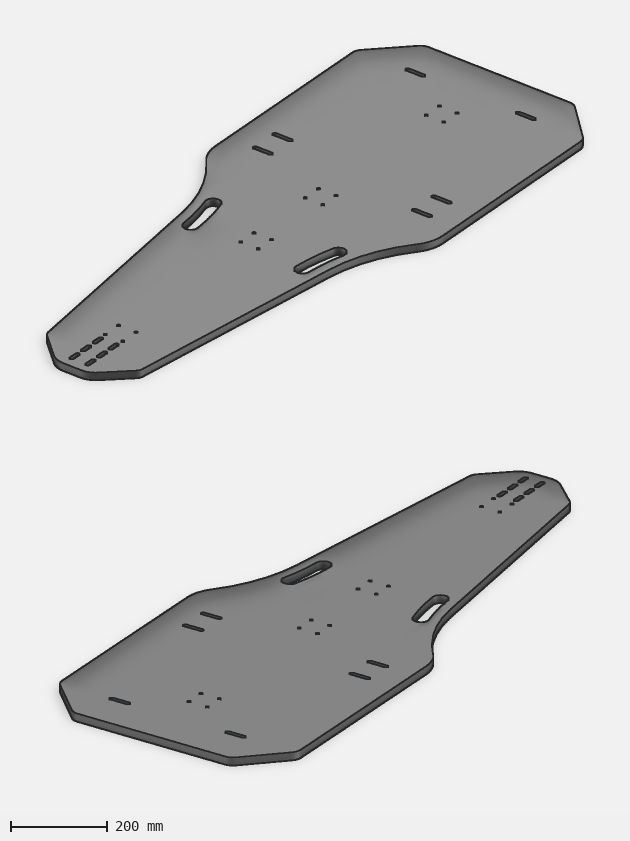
import cadquery as cq
import math

length = 1462.0
width = 590.0
thickness = 19.0
half_length = length / 2
half_width = width / 2

head_chamfer = 101.0
shoulder_y = 115.0
waist_x, waist_y = 203.0, 5.0
tail_x, tail_y = 121.0, -658.0
tip_x = 42.0

head_radius = 29.0
shoulder_radius = 92.0
waist_radius = 370.0
tail_radius = 22.0
tip_radius = 51.0

hole_diameter = 6.7
hole_spacing = 45.0
hole_group_centres_y = [533.0, 120.0, -101.0, -564.0]

strap_slot_length = 50.0
strap_slot_width = 10.0
strap_slot_places = [(143.0, 633.0), (206.0, 262.0), (206.0, 195.0)]

tail_slot_length = 29.0
tail_slot_width = 10.0
tail_slot_x = 20.0
tail_slot_pitch = 40.0
tail_slot_count = 3
first_tail_slot_y = -615.0

handle_upper = (162.0, -34.0)
handle_lower = (145.0, -133.0)
handle_half_width = 18.0
handle_bend_radius = 512.0

SIDES = (-1, 1)


def make_plate():
    right_corners = [
        (half_width - head_chamfer, half_length, head_radius),
        (half_width, half_length - head_chamfer, head_radius),
        (half_width, shoulder_y, shoulder_radius),
        (waist_x, waist_y, waist_radius),
        (tail_x, tail_y, tail_radius),
        (tip_x, -half_length, tip_radius),
    ]
    right = [(x, y) for x, y, _ in right_corners]
    left = [(-x, y) for x, y in reversed(right)]
    plate = cq.Workplane("XY").polyline(right + left).close().extrude(thickness)
    for x, y, radius in right_corners:
        for side in SIDES:
            corner = cq.selectors.NearestToPointSelector((side * x, y, thickness / 2))
            plate = plate.edges("|Z").edges(corner).fillet(radius)
    return plate


def hole_cutter():
    offset = hole_spacing / 2
    points = [
        (side * offset, centre_y + end * offset)
        for centre_y in hole_group_centres_y
        for side in SIDES
        for end in SIDES
    ]
    return cq.Workplane("XY").pushPoints(points).circle(hole_diameter / 2).extrude(thickness)


def slot_cutter(points, slot_length, slot_width, angle):
    return cq.Workplane("XY").pushPoints(points).slot2D(slot_length, slot_width, angle).extrude(thickness)


def handle_cutter():
    """Right-hand curved slot, bent about a centre outside the plate."""
    upper_x, upper_y = handle_upper
    lower_x, lower_y = handle_lower
    chord = math.dist(handle_upper, handle_lower)
    centre_distance = math.sqrt(handle_bend_radius**2 - (chord / 2) ** 2)
    centre_x = (upper_x + lower_x) / 2 + centre_distance * (upper_y - lower_y) / chord
    centre_y = (upper_y + lower_y) / 2 - centre_distance * (upper_x - lower_x) / chord
    upper_angle = math.atan2(upper_y - centre_y, upper_x - centre_x) % math.tau
    lower_angle = math.atan2(lower_y - centre_y, lower_x - centre_x) % math.tau
    middle_angle = (upper_angle + lower_angle) / 2
    outer_radius = handle_bend_radius - handle_half_width
    inner_radius = handle_bend_radius + handle_half_width

    def bend_point(radius, angle):
        return (centre_x + radius * math.cos(angle), centre_y + radius * math.sin(angle))

    def end_cap(centre, angle, direction):
        """Farthest point of a round end, measured along the slot."""
        x, y = centre
        return (
            x - direction * handle_half_width * math.sin(angle),
            y + direction * handle_half_width * math.cos(angle),
        )

    upper_cap = end_cap(handle_upper, upper_angle, -1)
    lower_cap = end_cap(handle_lower, lower_angle, 1)
    return (
        cq.Workplane("XY")
        .moveTo(*bend_point(outer_radius, upper_angle))
        .threePointArc(bend_point(outer_radius, middle_angle), bend_point(outer_radius, lower_angle))
        .threePointArc(lower_cap, bend_point(inner_radius, lower_angle))
        .threePointArc(bend_point(inner_radius, middle_angle), bend_point(inner_radius, upper_angle))
        .threePointArc(upper_cap, bend_point(outer_radius, upper_angle))
        .close()
        .extrude(thickness)
    )


strap_points = [(side * x, y) for x, y in strap_slot_places for side in SIDES]
tail_points = [
    (side * tail_slot_x, first_tail_slot_y - i * tail_slot_pitch)
    for i in range(tail_slot_count)
    for side in SIDES
]
right_handle = handle_cutter()

result = (
    make_plate()
    .cut(hole_cutter())
    .cut(slot_cutter(strap_points, strap_slot_length, strap_slot_width, 0))
    .cut(slot_cutter(tail_points, tail_slot_length, tail_slot_width, 90))
    .cut(right_handle)
    .cut(right_handle.mirror("YZ"))
)